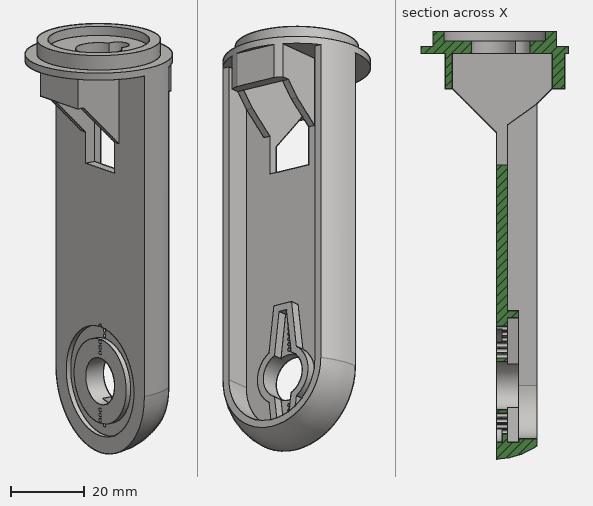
import cadquery as cq
import math

height = 116.0
flange_diameter = 40.0
flange_thickness = 2.0
spigot_diameter = 33.5
spigot_height = 4.1
recess_diameter = 27.5
recess_depth = 2.5
flange_radius = flange_diameter / 2
flange_top = height - spigot_height
flange_bottom = flange_top - flange_thickness

entry_diameter = 12.5
notch_diameter = 6.0
notch_y = 6.5

arm_front = 0.5
arm_back = 11.5
skin_thickness = 3.0
hollow_radius = 14.4
pivot_z = flange_radius
skin_back = arm_front + skin_thickness

housing_half_width = 8.5
housing_wall = 2.0
housing_front = -13.5
housing_back = 19.0
housing_bottom = 100.5
back_brace_start = 15.5
window_bottom = 79.8
cavity_front = housing_front + housing_wall
cavity_width = 2 * (housing_half_width - housing_wall)

bore_diameter = 13.0
groove_inner_diameter = 23.5
groove_outer_diameter = 30.6
groove_depth = 1.5

rim_height = 3.0
rim_wall = 2.0
horn_root_half_width = 3.5
horn_taper_angle = 7.0
upper_arm_length = 18.3
lower_arm_length = 15.3
rim_back = skin_back + rim_height
hub_diameter = bore_diameter + 2 * rim_wall

pin_hole_diameter = 1.0
pin_hole_pitch = 1.5
first_pin_radius = 8.0
upper_pin_count = 6
lower_pin_count = 4


def slab(width, y_start, y_end, z_start, z_end):
    """Box centred on X."""
    box = cq.Workplane("XY").box(
        width, y_end - y_start, z_end - z_start, centered=(True, False, False)
    )
    return box.translate((0, y_start, z_start))


def upright_cylinder(diameter, z_start, z_end, y=0):
    """Cylinder along Z."""
    plane = cq.Workplane("XY", origin=(0, y, z_start))
    return plane.circle(diameter / 2).extrude(z_end - z_start)


def pivot_plane(y):
    """Plane across the pivot axis, with its local Y along Z; a negative extrusion goes toward +Y."""
    return cq.Workplane("XZ", origin=(0, y, pivot_z))


def pivot_cylinder(diameter, y_start, y_end):
    """Cylinder around the pivot axis."""
    return pivot_plane(y_start).circle(diameter / 2).extrude(y_start - y_end)


def arm():
    rod = upright_cylinder(flange_diameter, pivot_z, flange_bottom)
    round_end = cq.Workplane("XY", origin=(0, 0, pivot_z)).sphere(flange_radius)
    slice_box = slab(flange_diameter, arm_front, arm_back, 0, flange_bottom)
    hollow = slab(2 * hollow_radius, skin_back, arm_back, pivot_z, flange_bottom)
    hollow = hollow.union(pivot_cylinder(2 * hollow_radius, skin_back, arm_back))
    return rod.union(round_end).intersect(slice_box).cut(hollow)


def housing():
    """Block with braces that reach down the arm, trimmed to the round of the flange."""
    front_brace_drop = arm_front - cavity_front
    back_brace_drop = back_brace_start - arm_back
    profile = [
        (housing_front, flange_bottom),
        (housing_front, housing_bottom),
        (cavity_front, housing_bottom),
        (arm_front, housing_bottom - front_brace_drop),
        (arm_back, housing_bottom - back_brace_drop),
        (back_brace_start, housing_bottom),
        (housing_back, housing_bottom),
        (housing_back, flange_bottom),
    ]
    side_plane = cq.Workplane("YZ", origin=(-housing_half_width, 0, 0))
    block = side_plane.polyline(profile).close().extrude(2 * housing_half_width)
    return block.intersect(upright_cylinder(flange_diameter, 0, flange_bottom))


def housing_cavity():
    """Space between the braces, which also opens the window in the arm."""
    return slab(cavity_width, cavity_front, back_brace_start, window_bottom, flange_bottom)


def flange():
    plate = upright_cylinder(flange_diameter, flange_bottom, flange_top)
    spigot = upright_cylinder(spigot_diameter, flange_top, height)
    recess = upright_cylinder(recess_diameter, height - recess_depth, height)
    return plate.union(spigot).cut(recess)


def cable_entry():
    hole = upright_cylinder(entry_diameter, flange_bottom, height)
    return hole.union(upright_cylinder(notch_diameter, flange_bottom, height, notch_y))


def horn_arms(growth):
    """Horn outline, widened and lengthened by growth, raised on the back of the skin."""
    taper = math.tan(math.radians(horn_taper_angle))
    root = horn_root_half_width + growth
    upper_end = upper_arm_length + growth
    lower_end = lower_arm_length + growth
    upper_tip = root - upper_end * taper
    lower_tip = root - lower_end * taper
    outline = [
        (upper_tip, upper_end),
        (root, 0),
        (lower_tip, -lower_end),
        (-lower_tip, -lower_end),
        (-root, 0),
        (-upper_tip, upper_end),
    ]
    return pivot_plane(skin_back).polyline(outline).close().extrude(-rim_height)


def horn_rim():
    return horn_arms(rim_wall).union(pivot_cylinder(hub_diameter, skin_back, rim_back))


def ring_groove():
    groove_back = arm_front + groove_depth
    disc = pivot_cylinder(groove_outer_diameter, arm_front, groove_back)
    return disc.cut(pivot_cylinder(groove_inner_diameter, arm_front, groove_back))


def pin_holes():
    upper = [(0, first_pin_radius + i * pin_hole_pitch) for i in range(upper_pin_count)]
    lower = [(0, -first_pin_radius - i * pin_hole_pitch) for i in range(lower_pin_count)]
    centres = pivot_plane(arm_front).pushPoints(upper + lower)
    return centres.circle(pin_hole_diameter / 2).extrude(-skin_thickness)


result = (
    arm()
    .union(housing())
    .cut(housing_cavity())
    .union(flange())
    .cut(cable_entry())
    .union(horn_rim())
    .cut(horn_arms(0))
    .cut(pivot_cylinder(bore_diameter, arm_front, rim_back))
    .cut(ring_groove())
    .cut(pin_holes())
)